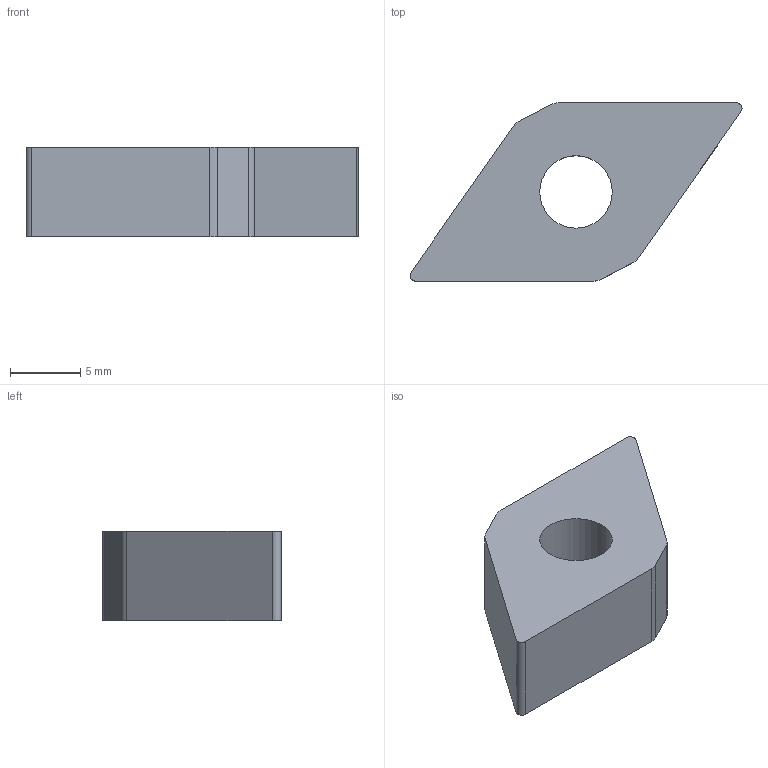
import cadquery as cq
import math

inscribed_circle = 12.7
thickness = 6.35
acute_angle = 55.0
nose_radius = 0.4
hole_diameter = 5.16
corner_cut_leg = 1.75
corner_cut_radius = 1.2
edge_tolerance = 0.01

half_height = inscribed_circle / 2
half_angle = math.radians(acute_angle / 2)
acute_x = half_height / math.tan(half_angle)
obtuse_x = half_height * math.tan(half_angle)

cut_run = corner_cut_leg * math.cos(2 * half_angle)
cut_rise = corner_cut_leg * math.sin(2 * half_angle)


def edges_at(points):
    """Return a selector for the vertical edges through the given XY points."""
    selector = None
    for x, y in points:
        box = cq.selectors.BoxSelector(
            (x - edge_tolerance, y - edge_tolerance, -thickness),
            (x + edge_tolerance, y + edge_tolerance, thickness),
        )
        selector = box if selector is None else selector + box
    return selector


def both_ends(points):
    """Return the points followed by their half-turn copies about the origin."""
    return points + [(-x, -y) for x, y in points]


def insert_body():
    """Rhombic plate with cut obtuse corners and rounded vertical edges."""
    nose = (-acute_x, -half_height)
    cut_start = (obtuse_x - corner_cut_leg, -half_height)
    cut_end = (obtuse_x + cut_run, -half_height + cut_rise)
    body = (
        cq.Workplane("XY")
        .polyline(both_ends([nose, cut_start, cut_end]))
        .close()
        .extrude(thickness / 2, both=True)
    )
    body = body.edges("|Z").edges(edges_at(both_ends([nose]))).fillet(nose_radius)
    cut_corners = both_ends([cut_start, cut_end])
    return body.edges("|Z").edges(edges_at(cut_corners)).fillet(corner_cut_radius)


def drill_center(body):
    """Drill the clamping hole straight through the plate."""
    return body.faces(">Z").workplane(origin=(0, 0, 0)).hole(hole_diameter)


result = drill_center(insert_body())